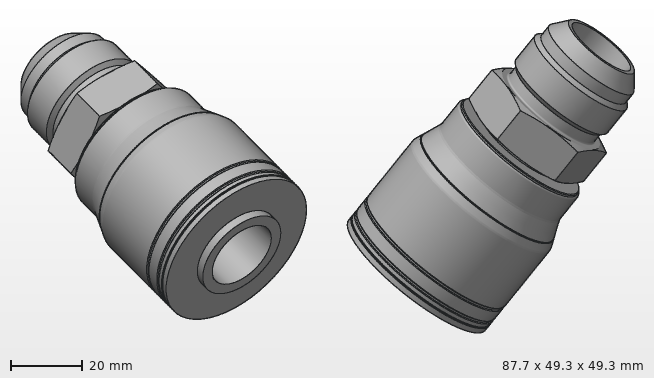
import cadquery as cq
import math

LENGTH = 87.7
BORE_R = 10.35
STEM_R = 13.7

TIP_R = 11.7
RELIEF_R = 15.2
THREAD_R = 16.5
NOSE_END = 4.65
THREAD_START = 8.2
THREAD_END = 19.65
THREAD_CHAMFER = THREAD_R - RELIEF_R

HEX_START = 23.2
HEX_END = 35.7
HEX_FLATS = 35.1
HEX_FACE_R = 17.3
HEX_CORNER_R = HEX_FLATS / math.sqrt(3)
HEX_CHAMFER = 1.0
ROOT_FILLET = 0.5

SHELL_START = 37.1
SHELL_END = 85.2
LIP_R = 20.7
LIP_END = 37.9
LIP_CHAMFER = 0.3
COLLAR_R = 21.3
COLLAR_END = 46.7
COLLAR_FILLET = 0.5
SHELL_R = 24.65
TAPER_END = 55.3
TAPER_BLEND = 1.75

GROOVES = [(76.6, 1.05, 0.3), (81.3, 1.05, 0.3), (83.25, 0.5, 0.2)]
GROOVE_FLOOR_RATIO = 0.5

TAPER_GROOVE_X = 52.55
TAPER_GROOVE_WIDTH = 0.35
TAPER_GROOVE_DEPTH = 0.2

EDGE_TOLERANCE = 0.1


def revolve_profile(points):
    """Turn an (x, radius) outline about the X axis."""
    return cq.Workplane("XY").polyline(points).close().revolve(360, (0, 0, 0), (1, 0, 0))


def cylinder(start, end, radius):
    return cq.Workplane("YZ").workplane(offset=start).circle(radius).extrude(end - start)


def make_hexagon():
    """Hexagon with flats at top and bottom and turned corners at both ends."""
    prism = (
        cq.Workplane("YZ").workplane(offset=HEX_START)
        .polygon(6, 2 * HEX_CORNER_R).extrude(HEX_END - HEX_START)
    )
    turned_envelope = revolve_profile([
        (HEX_START, 0),
        (HEX_START, HEX_FACE_R),
        (HEX_START + HEX_CHAMFER, HEX_CORNER_R),
        (HEX_END - HEX_CHAMFER, HEX_CORNER_R),
        (HEX_END, HEX_FACE_R),
        (HEX_END, 0),
    ])
    return prism.intersect(turned_envelope)


def root_fillet(face_x, radius, side):
    """Concave ring between a hexagon face and the stem; side is the X direction away from the hexagon."""
    centre = (face_x + side * ROOT_FILLET, radius + ROOT_FILLET)
    reach = ROOT_FILLET * math.sqrt(0.5)
    return (
        cq.Workplane("XY").moveTo(face_x, 0)
        .lineTo(face_x, radius + ROOT_FILLET)
        .threePointArc((centre[0] - side * reach, centre[1] - reach), (centre[0], radius))
        .lineTo(centre[0], 0).close()
        .revolve(360, (0, 0, 0), (1, 0, 0))
    )


def make_stem():
    """Flared nose, thread, hexagon and tail tube, bored right through."""
    threaded_end = revolve_profile([
        (0, 0),
        (0, TIP_R),
        (NOSE_END, RELIEF_R),
        (THREAD_START, RELIEF_R),
        (THREAD_START + THREAD_CHAMFER, THREAD_R),
        (THREAD_END - THREAD_CHAMFER, THREAD_R),
        (THREAD_END, RELIEF_R),
        (HEX_START, RELIEF_R),
        (HEX_START, 0),
    ])
    return (
        threaded_end
        .union(make_hexagon())
        .union(cylinder(HEX_END, LENGTH, STEM_R))
        .union(root_fillet(HEX_START, RELIEF_R, -1))
        .union(root_fillet(HEX_END, STEM_R, 1))
        .cut(cylinder(0, LENGTH, BORE_R))
    )


def taper_radius(x):
    """Radius of the shell's cone at a position along X."""
    slope = (SHELL_R - COLLAR_R) / (TAPER_END - COLLAR_END)
    return COLLAR_R + slope * (x - COLLAR_END)


def straight_groove(centre, width, depth):
    """Ring with sloped sides and a flat floor, to cut from the cylindrical part of the shell."""
    half_floor = width * GROOVE_FLOOR_RATIO / 2
    return revolve_profile([
        (centre - width / 2, SHELL_R),
        (centre - half_floor, SHELL_R - depth),
        (centre + half_floor, SHELL_R - depth),
        (centre + width / 2, SHELL_R),
    ])


def taper_groove():
    """V-shaped ring to cut from the cone."""
    start = TAPER_GROOVE_X - TAPER_GROOVE_WIDTH / 2
    end = TAPER_GROOVE_X + TAPER_GROOVE_WIDTH / 2
    return revolve_profile([
        (start, taper_radius(start)),
        (TAPER_GROOVE_X, taper_radius(TAPER_GROOVE_X) - TAPER_GROOVE_DEPTH),
        (end, taper_radius(end)),
    ])


def circles_at(x):
    """Selector for the edges lying at one position along X."""
    return cq.selectors.BoxSelector(
        (x - EDGE_TOLERANCE, -LENGTH, -LENGTH),
        (x + EDGE_TOLERANCE, LENGTH, LENGTH),
        boundingbox=True,
    )


def make_shell():
    """Stepped, tapered sleeve fitted over the stem's tail."""
    shell = revolve_profile([
        (SHELL_START, STEM_R),
        (SHELL_START, LIP_R - LIP_CHAMFER),
        (SHELL_START + LIP_CHAMFER, LIP_R),
        (LIP_END, LIP_R),
        (LIP_END, COLLAR_R),
        (COLLAR_END, COLLAR_R),
        (TAPER_END, SHELL_R),
        (SHELL_END, SHELL_R),
        (SHELL_END, STEM_R),
    ])
    shell = shell.edges(circles_at(TAPER_END)).edges("%CIRCLE").fillet(TAPER_BLEND)
    shell = shell.edges(circles_at(COLLAR_END)).edges("%CIRCLE").fillet(TAPER_BLEND)
    lip_edges = shell.edges(circles_at(LIP_END)).edges("%CIRCLE")
    shell = lip_edges.edges(cq.selectors.RadiusNthSelector(-1)).fillet(COLLAR_FILLET)
    for centre, width, depth in GROOVES:
        shell = shell.cut(straight_groove(centre, width, depth))
    shell = shell.cut(taper_groove())
    return shell


stem = make_stem()
shell = make_shell()
result = cq.Compound.makeCompound([stem.val(), shell.val()])